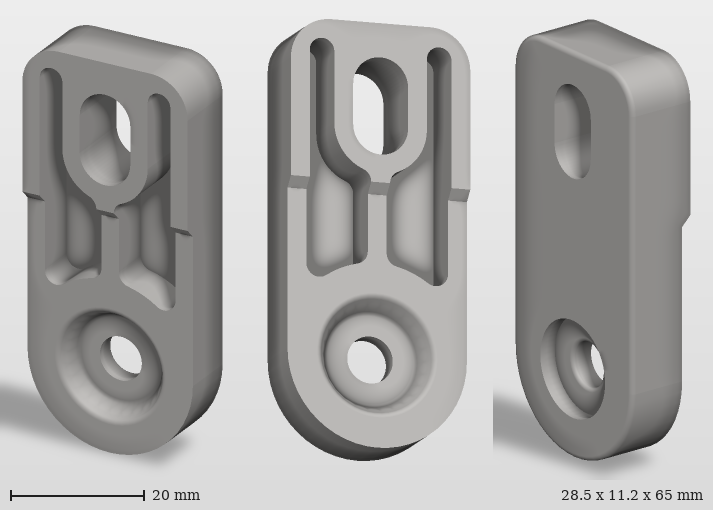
import cadquery as cq
import math

LENGTH = 65.0
WIDTH = 28.5
THICKNESS = 11.2
TOP_CORNER_RADIUS = 6.3
BACK_EDGE_RADIUS = 0.8

STEP_DEPTH = 1.55
STEP_BOTTOM_Z = 38.95

SLOT_WIDTH = 8.7
SLOT_LENGTH = 14.95
SLOT_TOP_GAP = 5.25

SEAT_DEPTH = 3.25
SEAT_FLOOR_RADIUS = 7.15
SEAT_WALL_ANGLE = 30.0
SEAT_FLOOR_FILLET = 0.65
SEAT_RIM_FILLET = 0.9
HOLE_DIAMETER = 7.2
HOLE_REAR_FILLET = 0.6

RECESS_DIAMETER = 15.6
RECESS_DEPTH = 2.8

WALL = 3.0
POCKET_FLOOR = 3.0
POCKET_CORNER_RADIUS = 2.0

HALF_WIDTH = WIDTH / 2
SEAT_CENTER_Z = HALF_WIDTH
HOLE_RADIUS = HOLE_DIAMETER / 2
RECESS_RADIUS = RECESS_DIAMETER / 2
RECESS_FLOOR_Y = THICKNESS - RECESS_DEPTH
SLOT_CENTER_Z = LENGTH - SLOT_TOP_GAP - SLOT_LENGTH / 2
SLOT_LOWER_CENTER_Z = SLOT_CENTER_Z - (SLOT_LENGTH - SLOT_WIDTH) / 2


def front_plane(y):
    """Sketch plane facing -Y at depth y, with local x along X and local y along Z."""
    return cq.Workplane(cq.Plane(origin=(0, y, 0), xDir=(1, 0, 0), normal=(0, -1, 0)))


def drill(y_start, z, radius, depth):
    """Cylinder on the centre line (X = 0), running in +Y from y_start."""
    return front_plane(y_start).center(0, z).circle(radius).extrude(-depth)


def make_plate():
    """Outer plate with a round lower end, rounded top corners and a rounded back edge."""
    shoulder_z = LENGTH - TOP_CORNER_RADIUS
    plate = (
        front_plane(0)
        .moveTo(-HALF_WIDTH, SEAT_CENTER_Z)
        .threePointArc((0, 0), (HALF_WIDTH, SEAT_CENTER_Z))
        .lineTo(HALF_WIDTH, shoulder_z)
        .radiusArc((HALF_WIDTH - TOP_CORNER_RADIUS, LENGTH), -TOP_CORNER_RADIUS)
        .lineTo(-HALF_WIDTH + TOP_CORNER_RADIUS, LENGTH)
        .radiusArc((-HALF_WIDTH, shoulder_z), -TOP_CORNER_RADIUS)
        .close()
        .extrude(-THICKNESS)
    )
    return plate.faces(">Y").edges().fillet(BACK_EDGE_RADIUS)


def make_step():
    """Material in front of the lower face, bounded above by the 45 degree step."""
    return (
        cq.Workplane("YZ")
        .polyline([
            (0, 0),
            (STEP_DEPTH, 0),
            (STEP_DEPTH, STEP_BOTTOM_Z),
            (0, STEP_BOTTOM_Z + STEP_DEPTH),
        ])
        .close()
        .extrude(HALF_WIDTH, both=True)
    )


def make_slot():
    """Upright through slot with round ends."""
    outline = front_plane(0).center(0, SLOT_CENTER_Z).slot2D(SLOT_LENGTH, SLOT_WIDTH, 90)
    return outline.extrude(-THICKNESS)


def make_seat():
    """Conical seat with a rounded floor edge; its rim is rounded later."""
    rim_radius = SEAT_FLOOR_RADIUS + SEAT_DEPTH * math.tan(math.radians(SEAT_WALL_ANGLE))
    floor_y = STEP_DEPTH + SEAT_DEPTH
    seat = (
        cq.Workplane("XY")
        .polyline([(0, STEP_DEPTH), (rim_radius, STEP_DEPTH), (SEAT_FLOOR_RADIUS, floor_y), (0, floor_y)])
        .close()
        .revolve(360, (0, 0, 0), (0, 1, 0))
    )
    return seat.faces(">Y").edges().fillet(SEAT_FLOOR_FILLET).translate((0, 0, SEAT_CENTER_Z))


def make_pocket():
    """Right-hand pocket, bounded by walls around the slot, the rib and the seat."""
    depth = THICKNESS - POCKET_FLOOR
    outer_x = HALF_WIDTH - WALL
    rib_x = WALL / 2
    inner_x = SLOT_WIDTH / 2 + WALL
    round_x = (inner_x + outer_x) / 2
    round_z = LENGTH - WALL - (outer_x - round_x)
    pocket = (
        front_plane(0)
        .moveTo(outer_x, SEAT_CENTER_Z)
        .lineTo(outer_x, round_z)
        .threePointArc((round_x, LENGTH - WALL), (inner_x, round_z))
        .lineTo(inner_x, SLOT_LOWER_CENTER_Z)
        .lineTo(rib_x, SLOT_LOWER_CENTER_Z)
        .lineTo(rib_x, SEAT_CENTER_Z)
        .close()
        .extrude(-depth)
        .cut(drill(0, SLOT_LOWER_CENTER_Z, inner_x, depth))
        .cut(drill(0, SEAT_CENTER_Z, HALF_WIDTH, depth))
    )
    rib_corners = pocket.edges("|Y and <X")
    lower_outer_corner = pocket.edges("|Y").edges("<Z")
    return pocket.newObject(rib_corners.vals() + lower_outer_corner.vals()).fillet(POCKET_CORNER_RADIUS)


def round_seat_edge(body, y, reach, fillet_radius):
    """Fillet the edges at depth y lying within reach of the seat axis."""
    margin = 0.05
    around_axis = cq.selectors.BoxSelector(
        (-reach, y - margin, SEAT_CENTER_Z - reach),
        (reach, y + margin, SEAT_CENTER_Z + reach),
        boundingbox=True,
    )
    return body.edges(around_axis).fillet(fillet_radius)


right_pocket = make_pocket()
result = (
    make_plate()
    .cut(make_step())
    .cut(make_slot())
    .cut(right_pocket)
    .cut(right_pocket.mirror("YZ"))
    .cut(make_seat())
    .cut(drill(0, SEAT_CENTER_Z, HOLE_RADIUS, THICKNESS))
    .cut(drill(RECESS_FLOOR_Y, SEAT_CENTER_Z, RECESS_RADIUS, RECESS_DEPTH))
)
result = round_seat_edge(result, STEP_DEPTH, HALF_WIDTH - WALL, SEAT_RIM_FILLET)
result = round_seat_edge(result, RECESS_FLOOR_Y, HOLE_RADIUS + HOLE_REAR_FILLET, HOLE_REAR_FILLET)